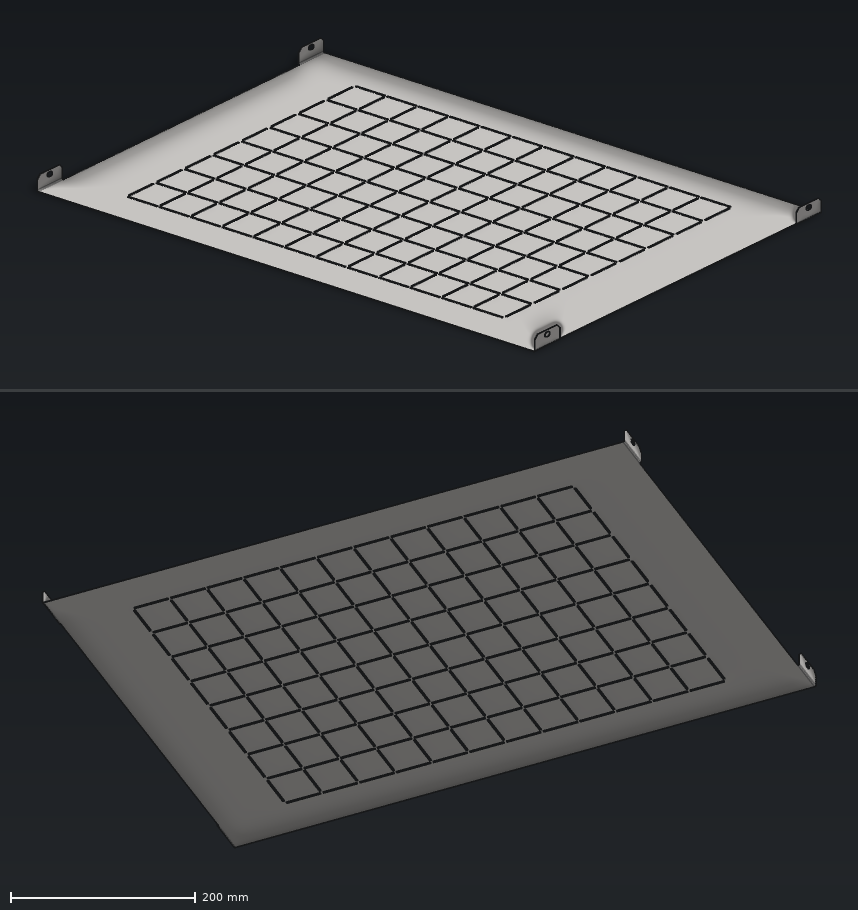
import cadquery as cq
import math

length = 698.0
width = 493.0
height = 19.5
thickness = 1.05

bend_inner_radius = 1.0
bend_outer_radius = bend_inner_radius + thickness
tab_width = 43.0
tab_chamfer = 5.0
tab_hole_length = 8.5
tab_hole_height = 5.5
tab_hole_z = 14.0

columns = 12
rows = 8
grid_length = 528.0
grid_width = 391.5
column_pitch = grid_length / columns
row_pitch = grid_width / rows
end_gap = 3.2
slot_length = column_pitch - end_gap
slot_width = 2.0

plate_length = length - 2 * bend_outer_radius
tab_center_y = (width - tab_width) / 2


def make_plate():
    """Flat sheet, ending where the tab bends begin."""
    return cq.Workplane("XY").box(plate_length, width, thickness, centered=(True, True, False))


def centered_positions(count, pitch):
    """Evenly spaced positions, symmetric about zero."""
    return [(index - (count - 1) / 2) * pitch for index in range(count)]


def make_slots(x_positions, y_positions, x_size, y_size):
    """Equal rectangular cutters through the sheet, at every pairing of the given positions."""
    return (
        cq.Workplane("XY")
        .pushPoints([(x, y) for x in x_positions for y in y_positions])
        .rect(x_size, y_size)
        .extrude(thickness)
    )


def cut_grid(plate):
    """Cut one slot per cell side, stopping short of the grid nodes so the sheet stays whole."""
    column_lines = centered_positions(columns + 1, column_pitch)
    column_centers = centered_positions(columns, column_pitch)
    row_lines = centered_positions(rows + 1, row_pitch)
    row_centers = centered_positions(rows, row_pitch)
    slots_along_x = make_slots(column_centers, row_lines, slot_length, slot_width)
    slots_along_y = make_slots(column_lines, row_centers, slot_width, slot_length)
    return plate.cut(slots_along_x).cut(slots_along_y)


def bend_middle(radius):
    """Halfway point, in X and Z, of the bend arc of the given radius."""
    offset = radius * math.sqrt(0.5)
    return (plate_length / 2 + offset, bend_outer_radius - offset)


def make_tab():
    """Bent tab at the middle of the +X edge."""
    bend_x = plate_length / 2
    outer_x = length / 2
    inner_x = outer_x - thickness
    tab = (
        cq.Workplane("XZ")
        .moveTo(bend_x, 0)
        .threePointArc(bend_middle(bend_outer_radius), (outer_x, bend_outer_radius))
        .lineTo(outer_x, height)
        .lineTo(inner_x, height)
        .lineTo(inner_x, bend_outer_radius)
        .threePointArc(bend_middle(bend_inner_radius), (bend_x, thickness))
        .close()
        .extrude(tab_width / 2, both=True)
    )
    tab = tab.faces(">Z").edges("|X").chamfer(tab_chamfer)
    hole = (
        cq.Workplane("YZ", origin=(inner_x, 0, tab_hole_z))
        .slot2D(tab_hole_length, tab_hole_height)
        .extrude(thickness)
    )
    return tab.cut(hole)


result = cut_grid(make_plate())

right_tab = make_tab()
left_tab = right_tab.mirror("YZ")
for tab in (right_tab, left_tab):
    for side in (-1, 1):
        result = result.union(tab.translate((0, side * tab_center_y, 0)))